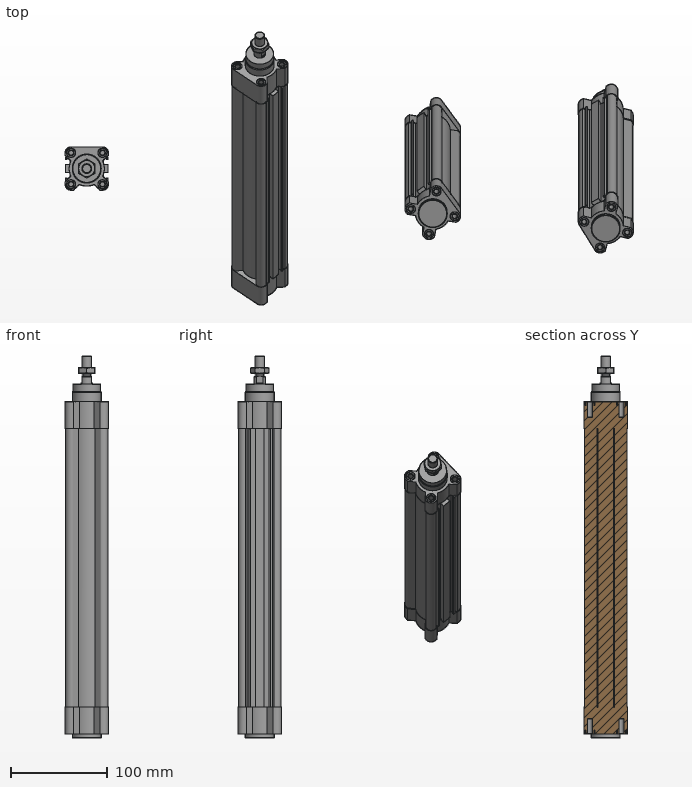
import cadquery as cq
import math

TOTAL_HEIGHT = 395.1
CAP_WIDTH = 45.0
CAP_HEIGHT = 28.0
TUBE_LENGTH = 288.0

SCREW_PITCH = 32.5
WAIST_RADIUS = 18.2
CAP_LOBE_INNER = 13.7

COLLAR_DIA = 30.0
REAR_COLLAR_HEIGHT = 4.0
REAR_COLLAR_CHAMFER = 0.6
FRONT_COLLAR_HEIGHT = 18.0
COLLAR_SHOULDER_HEIGHT = 9.5
COLLAR_BEVEL_HEIGHT = 1.1
COLLAR_TOP_DIA = 28.7

SCREW_RECESS_DIA = 9.5
SCREW_HEAD_DIA = 9.0
SCREW_RECESS_DEPTH = 4.0
THREAD_MOUTH_DIA = 6.0
THREAD_DIA = 4.92
THREAD_DEPTH = 16.0

TUBE_WIDTH = 44.2
TUBE_WAIST_RADIUS = 18.3
TUBE_LOBE_INNER = 14.8
TUBE_LOBE_FILLET = 1.6
RAIL_WIDTH = 8.6
SLOT_FLOOR = 17.4
LIP_TIP = 9.6
LIP_CREST = 11.3
LIP_THICKNESS = 1.6
SLOT_UNDERCUT = 10.7
GROOVE_ROOT = 13.0

ROD_DIA = 12.0
ROD_THREAD_DIA = 10.0
ROD_NECK_DIA = 8.2
ROD_TIP_DIA = 8.65
ROD_THREAD_LENGTH = 18.8
ROD_END_LENGTH = 20.6
ROD_SHOULDER_DIA = 9.5
ROD_SHOULDER_BEVEL_HEIGHT = 0.9
ROD_FLATS_WIDTH = 10.0
ROD_FLATS_BASE = 1.2

NUT_FLATS = 17.0
NUT_HEIGHT = 6.0
NUT_TOP_DEPTH = 12.0
NUT_FACE_DIA = 16.6
NUT_CHAMFER_ANGLE = 30.0
HEXAGON_TURN = 30.0

REAR_CAP_BOTTOM = REAR_COLLAR_HEIGHT
TUBE_BOTTOM = REAR_CAP_BOTTOM + CAP_HEIGHT
TUBE_TOP = TUBE_BOTTOM + TUBE_LENGTH
FRONT_CAP_TOP = TUBE_TOP + CAP_HEIGHT
COLLAR_TOP = FRONT_CAP_TOP + FRONT_COLLAR_HEIGHT
ROD_SHOULDER = TOTAL_HEIGHT - ROD_END_LENGTH

SCREW_OFFSET = SCREW_PITCH / 2
SCREW_POSITIONS = [(x, y) for x in (-SCREW_OFFSET, SCREW_OFFSET) for y in (-SCREW_OFFSET, SCREW_OFFSET)]


def disc(diameter, bottom, height):
    return cq.Workplane("XY", origin=(0, 0, bottom)).circle(diameter / 2).extrude(height)


def rounded_square(width, bottom, height):
    """Square bar whose corner rounds are concentric with the corner screws."""
    block = cq.Workplane("XY", origin=(0, 0, bottom)).rect(width, width).extrude(height)
    return block.edges("|Z").fillet(width / 2 - SCREW_OFFSET)


def waist_cut(width, lobe_inner, waist_radius, bottom, height):
    """Material between two lobes on the -Y side: 45 degree flanks down to a round waist."""
    half = width / 2
    drop = half - lobe_inner
    waist_x = (math.sqrt(2 * waist_radius**2 - drop**2) - drop) / 2
    waist_y = waist_x + drop
    return (
        cq.Workplane("XY", origin=(0, 0, bottom))
        .moveTo(-lobe_inner, -half)
        .lineTo(-waist_x, -waist_y)
        .threePointArc((0, -waist_radius), (waist_x, -waist_y))
        .lineTo(lobe_inner, -half)
        .close()
        .extrude(height)
    )


def turned(shape, angle):
    return shape.rotate((0, 0, 0), (0, 0, 1), angle)


def cap(bottom):
    """End cap: waisted on three sides, flat on the +Y port side."""
    body = rounded_square(CAP_WIDTH, bottom, CAP_HEIGHT)
    waist = waist_cut(CAP_WIDTH, CAP_LOBE_INNER, WAIST_RADIUS, bottom, CAP_HEIGHT)
    for angle in (-90, 0, 90):
        body = body.cut(turned(waist, angle))
    return body


def screw_recesses(face_level, inward):
    """Ring gap around each screw head and the threaded hole in it; inward is +1 or -1 along Z."""
    face = cq.Workplane("XY", origin=(0, 0, face_level)).pushPoints(SCREW_POSITIONS)
    gaps = face.circle(SCREW_RECESS_DIA / 2).circle(SCREW_HEAD_DIA / 2).extrude(inward * SCREW_RECESS_DEPTH)
    threads = face.circle(THREAD_DIA / 2).extrude(inward * THREAD_DEPTH)
    mouth_depth = (THREAD_MOUTH_DIA - THREAD_DIA) / 2
    mouth = cq.Solid.makeCone(
        THREAD_MOUTH_DIA / 2, THREAD_DIA / 2, mouth_depth,
        pnt=cq.Vector(0, 0, face_level), dir=cq.Vector(0, 0, inward),
    )
    cuts = gaps.union(threads)
    for x, y in SCREW_POSITIONS:
        cuts = cuts.union(cq.Workplane(mouth.translate(cq.Vector(x, y, 0))))
    return cuts


def sensor_slot():
    """Cut on the -X side of the tube: V-groove, lip and undercut slot beside the rail (+Y half)."""
    half = TUBE_WIDTH / 2
    groove_depth = TUBE_LOBE_INNER - GROOVE_ROOT
    lip_inside = half - LIP_THICKNESS
    plane = cq.Workplane("XY", origin=(0, 0, TUBE_BOTTOM))
    groove = (
        plane.moveTo(-half, TUBE_LOBE_INNER)
        .lineTo(-half + groove_depth, GROOVE_ROOT)
        .lineTo(-half, LIP_CREST)
        .close()
        .extrude(TUBE_LENGTH)
    )
    slot = (
        plane.moveTo(-half, RAIL_WIDTH / 2)
        .lineTo(-half, LIP_TIP)
        .lineTo(-lip_inside, LIP_TIP)
        .lineTo(-lip_inside, SLOT_UNDERCUT)
        .lineTo(-SLOT_FLOOR, LIP_TIP)
        .lineTo(-SLOT_FLOOR, RAIL_WIDTH / 2)
        .close()
        .extrude(TUBE_LENGTH)
    )
    return groove.union(slot)


def tube():
    """Extruded profile: round waists on the Y sides, rail and slots on the X sides."""
    body = rounded_square(TUBE_WIDTH, TUBE_BOTTOM, TUBE_LENGTH)
    waist = waist_cut(TUBE_WIDTH, TUBE_LOBE_INNER, TUBE_WAIST_RADIUS, TUBE_BOTTOM, TUBE_LENGTH)
    body = body.cut(waist).cut(waist.mirror("XZ"))
    half = TUBE_WIDTH / 2
    lobe_edges = [(x, y) for x in (-TUBE_LOBE_INNER, TUBE_LOBE_INNER) for y in (-half, half)]
    for x, y in lobe_edges:
        middle = (x, y, (TUBE_BOTTOM + TUBE_TOP) / 2)
        body = body.edges(cq.selectors.NearestToPointSelector(middle)).fillet(TUBE_LOBE_FILLET)
    slot = sensor_slot()
    slot_pair = slot.union(slot.mirror("XZ"))
    return body.cut(slot_pair).cut(slot_pair.mirror("YZ"))


def front_collar():
    base = disc(COLLAR_DIA, FRONT_CAP_TOP, COLLAR_SHOULDER_HEIGHT + COLLAR_BEVEL_HEIGHT)
    bevel_width = (COLLAR_DIA - COLLAR_TOP_DIA) / 2
    base = base.faces(">Z").edges().chamfer(COLLAR_BEVEL_HEIGHT, bevel_width)
    return base.union(disc(COLLAR_TOP_DIA, FRONT_CAP_TOP, FRONT_COLLAR_HEIGHT))


def rear_collar():
    collar = disc(COLLAR_DIA, 0, REAR_COLLAR_HEIGHT)
    return collar.faces("<Z").edges().chamfer(REAR_COLLAR_CHAMFER)


def make_housing():
    body = tube().union(cap(REAR_CAP_BOTTOM)).union(cap(TUBE_TOP))
    body = body.union(rear_collar()).union(front_collar())
    body = body.cut(screw_recesses(FRONT_CAP_TOP, -1))
    body = body.cut(screw_recesses(REAR_CAP_BOTTOM, 1))
    return body.cut(disc(ROD_DIA, TUBE_TOP, COLLAR_TOP - TUBE_TOP))


def make_rod():
    """Rod with wrench flats, undercut neck and plain-turned thread, reaching through the front cap."""
    shank = disc(ROD_DIA, TUBE_TOP, ROD_SHOULDER - TUBE_TOP)
    bevel_width = (ROD_DIA - ROD_SHOULDER_DIA) / 2
    shank = shank.faces(">Z").edges().chamfer(ROD_SHOULDER_BEVEL_HEIGHT, bevel_width)
    flats_bottom = COLLAR_TOP + ROD_FLATS_BASE
    flats_height = ROD_SHOULDER - flats_bottom
    flats_core = cq.Workplane("XY", origin=(0, 0, flats_bottom))
    flats_core = flats_core.rect(ROD_FLATS_WIDTH, ROD_DIA).extrude(flats_height)
    flats_core = flats_core.union(disc(ROD_DIA, TUBE_TOP, flats_bottom - TUBE_TOP))
    shank = shank.intersect(flats_core)
    neck = disc(ROD_NECK_DIA, ROD_SHOULDER, ROD_END_LENGTH)
    thread = disc(ROD_THREAD_DIA, TOTAL_HEIGHT - ROD_THREAD_LENGTH, ROD_THREAD_LENGTH)
    thread = thread.faces(">Z").edges().chamfer((ROD_THREAD_DIA - ROD_TIP_DIA) / 2)
    return shank.union(neck).union(thread)


def make_nut():
    """Hexagon nut with flats facing the X sides and both faces chamfered."""
    bottom = TOTAL_HEIGHT - NUT_TOP_DEPTH - NUT_HEIGHT
    corner_dia = NUT_FLATS / math.cos(math.radians(HEXAGON_TURN))
    hexagon = cq.Workplane("XY", origin=(0, 0, bottom)).polygon(6, corner_dia).extrude(NUT_HEIGHT)
    hexagon = turned(hexagon, HEXAGON_TURN)
    chamfer_width = (corner_dia - NUT_FACE_DIA) / 2
    chamfer_drop = chamfer_width * math.tan(math.radians(NUT_CHAMFER_ANGLE))
    envelope = disc(corner_dia, bottom, NUT_HEIGHT)
    envelope = envelope.faces(">Z").edges().chamfer(chamfer_drop, chamfer_width)
    envelope = envelope.faces("<Z").edges().chamfer(chamfer_drop, chamfer_width)
    return hexagon.intersect(envelope).cut(disc(ROD_THREAD_DIA, bottom, NUT_HEIGHT))


housing = make_housing()
rod = make_rod()
nut = make_nut()

result = cq.Compound.makeCompound([housing.val(), rod.val(), nut.val()])